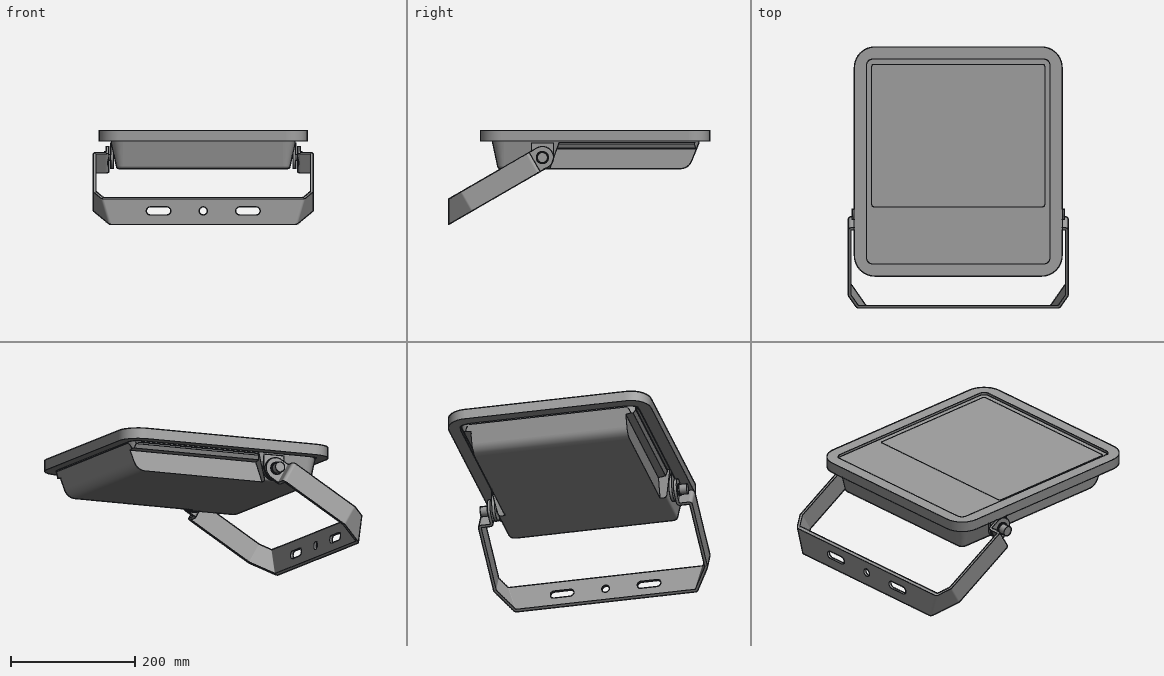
import cadquery as cq
import math


overall_length = 420.5

frame_width = 334.7
frame_length = 369.2
frame_height = 17.2
frame_corner_radius = 33.5
frame_border = 19.8
opening_corner_radius = 10.0
glass_recess = 4.0
window_margin = 8.5
window_length = 229.0
window_corner_radius = 3.5

opening_width = frame_width - 2 * frame_border
opening_length = frame_length - 2 * frame_border
glass_thickness = frame_height - glass_recess
window_width = opening_width - 2 * window_margin
window_center_y = opening_length / 2 - window_margin - window_length / 2

housing_half_width = 148.0
housing_front_y = -165.3
housing_back_y = 167.5
housing_bottom_z = -62.0
housing_rim_height = 2.0
housing_draft = 12.0
housing_corner_radius = 19.0
housing_bottom_fillet = 5.0
back_slope_angle = 22.0
back_bottom_radius = 20.0
channel_half_width = 128.3
channel_wall_half_width = 144.0
channel_ledge_half_width = 140.0
channel_top_front_y = -58.0
channel_bottom_front_y = -73.0
channel_wall_bottom_z = -22.0
channel_ledge_z = -28.5
channel_inner_z = -30.3

housing_length = housing_back_y - housing_front_y
housing_center_y = (housing_back_y + housing_front_y) / 2
rim_bottom_z = -frame_height - housing_rim_height
tray_depth = rim_bottom_z - housing_bottom_z

pivot_y = -85.0
pivot_z = -43.7
arm_angle = 30.0
arm_width = 35.7
lug_top_z = -20.0
lug_outer_x = 149.0
lug_thickness = 4.5

bracket_half_width = 177.0
bracket_front_y = frame_length / 2 - overall_length
sheet = 4.5
bend_inner_radius = 1.0
ear_inner_x = 152.0
jog_start = 14.5
corner_start = 141.0
corner_angle = 31.0
bar_hole_diameter = 12.5
bar_hole_z = -129.5
slot_length = 39.0
slot_center_x = 72.0
bend_outer_radius = bend_inner_radius + sheet
arm_start = jog_start + sheet + bend_outer_radius

shank_diameter = 10.0
head_diameter = 16.5
flange_diameter = 19.8
flange_thickness = 2.0
head_end_x = 170.7

SIDES = (-1, 1)


def rounded_block(width, length, height, radius, center_y, top_z):
    """Block with rounded vertical edges, hanging down from top_z."""
    block = cq.Workplane("XY").box(width, length, height, centered=(True, True, False))
    return block.edges("|Z").fillet(radius).translate((0, center_y, top_z - height))


def cylinder_x(diameter, x_start, x_end):
    """Cylinder on the pivot axis between two X positions."""
    plane = cq.Workplane("YZ", origin=(x_start, pivot_y, pivot_z))
    return plane.circle(diameter / 2).extrude(x_end - x_start)


def mirrored(shape, side):
    """The -X shape itself, or its mirror image on the +X side."""
    return shape if side < 0 else shape.mirror("YZ")


def make_frame():
    outer = rounded_block(frame_width, frame_length, frame_height, frame_corner_radius, 0, 0)
    opening = rounded_block(opening_width, opening_length, frame_height, opening_corner_radius, 0, 0)
    return outer.cut(opening)


def make_window():
    return rounded_block(
        window_width, window_length, glass_thickness, window_corner_radius, window_center_y, -glass_recess
    )


def make_glass():
    pane = rounded_block(
        opening_width, opening_length, glass_thickness, opening_corner_radius, 0, -glass_recess
    )
    return pane.cut(make_window())


def make_rim():
    """Straight-sided rim of the housing under the frame."""
    return rounded_block(
        2 * housing_half_width,
        housing_length,
        housing_rim_height,
        housing_corner_radius,
        housing_center_y,
        -frame_height,
    )


def make_tray():
    """Drafted tray with its bottom edge rounded and its back end sloped more steeply."""
    tray = (
        make_rim()
        .faces("<Z")
        .wires()
        .toPending()
        .workplane()
        .extrude(tray_depth, taper=housing_draft, combine=False)
        .faces("<Z")
        .edges()
        .fillet(housing_bottom_fillet)
    )
    back_bottom_y = housing_back_y - tray_depth * math.tan(math.radians(back_slope_angle))
    side_outline = (
        cq.Workplane("YZ")
        .polyline(
            [
                (housing_front_y, rim_bottom_z),
                (housing_back_y, rim_bottom_z),
                (back_bottom_y, housing_bottom_z),
                (housing_front_y, housing_bottom_z),
            ]
        )
        .close()
        .extrude(housing_half_width, both=True)
        .edges("|X and <Z")
        .edges(">Y")
        .fillet(back_bottom_radius)
    )
    return tray.intersect(side_outline)


def make_channel():
    """Space beside the rear of the tray, below a sloping ledge and with a sloping front end, at -X."""
    cross_section = (
        cq.Workplane("XZ", origin=(0, housing_back_y, 0))
        .polyline(
            [
                (-housing_half_width, rim_bottom_z),
                (-channel_wall_half_width, rim_bottom_z),
                (-channel_wall_half_width, channel_wall_bottom_z),
                (-channel_ledge_half_width, channel_ledge_z),
                (-channel_half_width, channel_inner_z),
                (-channel_half_width, housing_bottom_z),
                (-housing_half_width, housing_bottom_z),
            ]
        )
        .close()
        .extrude(housing_length)
    )
    side_outline = (
        cq.Workplane("YZ")
        .polyline(
            [
                (channel_top_front_y, rim_bottom_z),
                (housing_back_y, rim_bottom_z),
                (housing_back_y, housing_bottom_z),
                (channel_bottom_front_y, housing_bottom_z),
            ]
        )
        .close()
        .extrude(-housing_half_width)
    )
    return cross_section.intersect(side_outline)


def make_lug():
    """Round-ended lug on the -X side with the hole for the bolt shank."""
    x_start = -lug_outer_x
    x_end = x_start + lug_thickness
    height = lug_top_z - pivot_z
    plate = (
        cq.Workplane("YZ", origin=(x_start, pivot_y, pivot_z + height / 2))
        .rect(arm_width, height)
        .extrude(lug_thickness)
    )
    return plate.union(cylinder_x(arm_width, x_start, x_end)).cut(cylinder_x(shank_diameter, x_start, x_end))


def make_housing():
    housing = make_rim().union(make_tray())
    for side in SIDES:
        housing = housing.cut(mirrored(make_channel(), side))
        housing = housing.union(mirrored(make_lug(), side))
    return housing


def arm_plane():
    """Plane with X along global X, Y down along the arm and its normal across the strip."""
    angle = math.radians(arm_angle)
    return cq.Plane(
        origin=(0, pivot_y, pivot_z),
        xDir=(1, 0, 0),
        normal=(0, math.sin(angle), -math.cos(angle)),
    )


def extrude_strip(points):
    """Outline in the arm plane, extruded over the width of the strip."""
    return cq.Workplane(arm_plane()).polyline(points).close().extrude(arm_width / 2, both=True)


def fillet_bend(strip, x, along_arm, radius):
    """Round the edge across the strip at a place in the arm plane."""
    corner = arm_plane().toWorldCoords((x, along_arm, 0)).toTuple()
    return strip.edges(cq.selectors.NearestToPointSelector(corner)).fillet(radius)


def make_bow(inset, bend_radius):
    """Solid inside the arms, the slanted corners and the vertical bar, all moved inward by inset."""
    angle = math.radians(corner_angle)
    half_width = bracket_half_width - inset
    corner = corner_start - inset * math.tan(angle / 2)
    tip = corner + half_width / math.tan(angle)
    bow = extrude_strip(
        [
            (-half_width, arm_start),
            (half_width, arm_start),
            (half_width, corner),
            (0, tip),
            (-half_width, corner),
        ]
    )
    for side in SIDES:
        bow = fillet_bend(bow, side * half_width, corner, bend_radius)
    bar_face = cq.Workplane("XZ", origin=(0, bracket_front_y + inset, 0))
    bow = bow.cut(bar_face.rect(4 * tip, 4 * tip).extrude(2 * tip))
    return bow.faces("<Y").edges("not |X").fillet(bend_radius)


def make_jog():
    """Ear around the bolt and the double bend that joins it to the arm, on the -X side."""
    ear_outer = -ear_inner_x - sheet
    arm_inner = sheet - bracket_half_width
    jog_end = jog_start + sheet
    jog = extrude_strip(
        [
            (ear_outer, 0),
            (ear_outer, jog_start),
            (-bracket_half_width, jog_start),
            (-bracket_half_width, arm_start),
            (arm_inner, arm_start),
            (arm_inner, jog_end),
            (-ear_inner_x, jog_end),
            (-ear_inner_x, 0),
        ]
    )
    bends = [
        (ear_outer, jog_start, bend_inner_radius),
        (-bracket_half_width, jog_start, bend_outer_radius),
        (arm_inner, jog_end, bend_inner_radius),
        (-ear_inner_x, jog_end, bend_outer_radius),
    ]
    for x, along_arm, radius in bends:
        jog = fillet_bend(jog, x, along_arm, radius)
    jog = jog.union(cylinder_x(arm_width, ear_outer, -ear_inner_x))
    return jog.cut(cylinder_x(shank_diameter, ear_outer, -ear_inner_x))


def make_bar_openings():
    """Round hole in the middle of the bar and a slot on each side of it."""
    plane = cq.Workplane("XZ", origin=(0, bracket_front_y + sheet, bar_hole_z))
    hole = plane.circle(bar_hole_diameter / 2).extrude(sheet)
    slot_centers = [(side * slot_center_x, 0) for side in SIDES]
    return hole.union(plane.pushPoints(slot_centers).slot2D(slot_length, bar_hole_diameter).extrude(sheet))


def make_bracket():
    bracket = make_bow(0, bend_outer_radius).cut(make_bow(sheet, bend_inner_radius))
    for side in SIDES:
        bracket = bracket.union(mirrored(make_jog(), side))
    return bracket.cut(make_bar_openings())


def make_bolt():
    """Bolt on the -X side: head, flange against the ear, and shank through ear and lug."""
    flange_inner_x = -ear_inner_x - sheet
    flange_outer_x = flange_inner_x - flange_thickness
    head = cylinder_x(head_diameter, -head_end_x, flange_outer_x)
    flange = cylinder_x(flange_diameter, flange_outer_x, flange_inner_x)
    shank = cylinder_x(shank_diameter, flange_inner_x, lug_thickness - lug_outer_x)
    return head.union(flange).union(shank)


frame = make_frame()
glass = make_glass()
window = make_window()
housing = make_housing()
bracket = make_bracket()
bolts = [mirrored(make_bolt(), side).val() for side in SIDES]

result = cq.Compound.makeCompound(
    [frame.val(), glass.val(), window.val(), housing.val(), bracket.val(), *bolts]
)